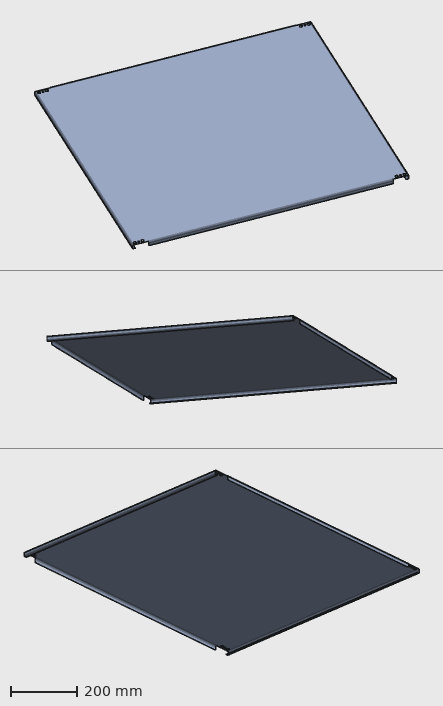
import cadquery as cq

WIDTH = 799.0
LENGTH = 900.0
HEIGHT = 15.0
SHEET = 1.5
BEND_RADIUS = 4.05
RETURN_LIP = 10.0
SIDE_FLANGE_LENGTH = 796.0
FLANGE_CORNER_RADIUS = 4.5

HOLE_DIAMETER = 9.0
HOLE_EDGE_X = 13.0
HOLE_EDGE_Y = 12.0
HOLE_PITCH = 25.0
MIDDLE_HOLE_DIAMETER = 5.0

PLATE_WIDTH = WIDTH - 2 * BEND_RADIUS
INNER_BEND_RADIUS = BEND_RADIUS - SHEET


def end_channel():
    """Top sheet bent down at both ends, with a return lip under each."""
    outside = (
        cq.Workplane("YZ")
        .rect(LENGTH, HEIGHT)
        .extrude(PLATE_WIDTH / 2, both=True)
        .translate((0, 0, HEIGHT / 2))
        .edges("|X").fillet(BEND_RADIUS)
    )
    inside = (
        cq.Workplane("YZ")
        .rect(LENGTH - 2 * SHEET, HEIGHT - 2 * SHEET)
        .extrude(PLATE_WIDTH / 2, both=True)
        .translate((0, 0, HEIGHT / 2))
        .edges("|X").fillet(INNER_BEND_RADIUS)
    )
    opening = cq.Workplane("XY").box(
        PLATE_WIDTH, LENGTH - 2 * RETURN_LIP, HEIGHT / 2, centered=(True, True, False)
    )
    return outside.cut(inside).cut(opening)


def side_flange():
    """Flange on the +X side: a quarter bend and a straight drop with rounded lower corners."""
    bend_start = PLATE_WIDTH / 2
    outer = WIDTH / 2
    bend_z = HEIGHT - BEND_RADIUS
    bend_centre = (bend_start, bend_z)
    diagonal = 0.5 ** 0.5

    def bend_middle(radius):
        return bend_centre[0] + radius * diagonal, bend_centre[1] + radius * diagonal

    flange = (
        cq.Workplane("XZ")
        .moveTo(bend_start, HEIGHT)
        .threePointArc(bend_middle(BEND_RADIUS), (outer, bend_z))
        .lineTo(outer, 0)
        .lineTo(outer - SHEET, 0)
        .lineTo(outer - SHEET, bend_z)
        .threePointArc(bend_middle(INNER_BEND_RADIUS), (bend_start, HEIGHT - SHEET))
        .close()
        .extrude(SIDE_FLANGE_LENGTH / 2, both=True)
    )
    return flange.edges("|X and <Z").fillet(FLANGE_CORNER_RADIUS)


def corner_holes():
    """Two round holes with a smaller one midway between them, at all four corners."""
    corner_x = WIDTH / 2 - HOLE_EDGE_X
    outer_y = LENGTH / 2 - HOLE_EDGE_Y
    middle_y = outer_y - HOLE_PITCH / 2
    inner_y = outer_y - HOLE_PITCH
    top = cq.Workplane("XY").workplane(offset=HEIGHT / 2)
    signs = [(sx, sy) for sx in (-1, 1) for sy in (-1, 1)]
    outer_points = [(sx * corner_x, sy * y) for sx, sy in signs for y in (outer_y, inner_y)]
    middle_points = [(sx * corner_x, sy * middle_y) for sx, sy in signs]
    outer_holes = top.pushPoints(outer_points).circle(HOLE_DIAMETER / 2).extrude(HEIGHT)
    middle_holes = top.pushPoints(middle_points).circle(MIDDLE_HOLE_DIAMETER / 2).extrude(HEIGHT)
    return outer_holes.union(middle_holes)


right_flange = side_flange()
left_flange = right_flange.mirror("YZ")
result = end_channel().union(right_flange).union(left_flange).cut(corner_holes())